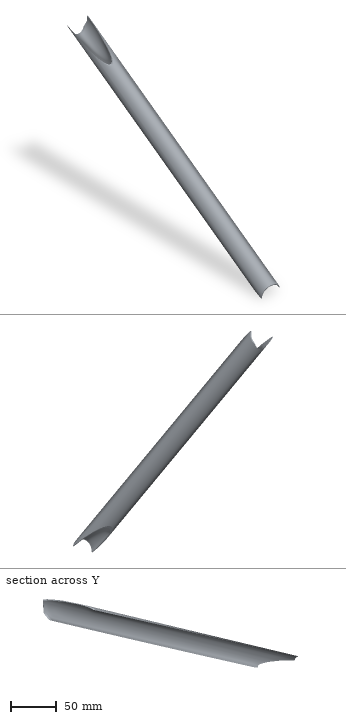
import cadquery as cq
import math

outer_radius = 12.47
wall = 1.0
axis_start = cq.Vector(0, 19.8, 189.5)
axis_end = cq.Vector(323.8, 12.3, -1.5)
overrun = 64.8

root_start = cq.Vector(9.7, 19.5, 169.5)
root_end = cq.Vector(67.5, 12.0, 163.5)
root_radius = 9.0
near_flank_angle = 63.0
far_flank_angle = 76.0
notch_height = 64.8

trim_start = cq.Vector(-0.3, 7.5, 0)
trim_end = cq.Vector(9.7, 31.5, 0)

ridge_point = cq.Vector(322.0, 12.3, 0.5)
ridge_direction = cq.Vector(0.16, 1, 0.18)
lower_mitre_slope = 0.285
upper_mitre_lean = 0.1

cutter_length = 259.0


def make_tube():
    """Hollow round bar, longer than the finished part at both ends."""
    direction = (axis_end - axis_start).normalized()
    base = axis_start - direction * overrun
    length = (axis_end - axis_start).Length + 2 * overrun
    plane = cq.Plane(base, normal=direction)
    return cq.Workplane(plane).circle(outer_radius).circle(outer_radius - wall).extrude(length)


def flank_points(angle, side):
    """Ends of one straight flank: its tangent point on the root arc and its top."""
    flank = math.radians(angle)
    arc_x = root_radius * math.sin(flank)
    arc_y = root_radius * (1 - math.cos(flank))
    top_x = arc_x + (notch_height - arc_y) / math.tan(flank)
    return (side * arc_x, arc_y), (side * top_x, notch_height)


def make_notch_cutter():
    """Rounded V trough that opens upward and removes the upper end of the tube."""
    direction = (root_end - root_start).normalized()
    sideways = cq.Vector(0, 0, 1).cross(direction)
    plane = cq.Plane(root_end - direction * cutter_length / 2, sideways, direction)
    near_arc, near_top = flank_points(near_flank_angle, -1)
    far_arc, far_top = flank_points(far_flank_angle, 1)
    return (
        cq.Workplane(plane)
        .moveTo(*near_arc)
        .threePointArc((0, 0), far_arc)
        .lineTo(*far_top)
        .lineTo(*near_top)
        .close()
        .extrude(cutter_length)
    )


def make_trim_cutter():
    """Block behind the upright plane through the two notch points."""
    along = (trim_end - trim_start).normalized()
    plane = cq.Plane(trim_start, along, cq.Vector(0, 0, 1).cross(along))
    return cq.Workplane(plane).rect(2 * cutter_length, 2 * cutter_length).extrude(cutter_length)


def make_mitre_cutter():
    """Prism around the lower end, with a wedge-shaped hollow that leaves the two mitres."""
    side = cutter_length / 2
    ridge = ridge_direction.normalized()
    profile = [
        (0, 0),
        (-side, side * lower_mitre_slope),
        (-side, -side),
        (side, -side),
        (side, side),
        (side * upper_mitre_lean, side),
    ]
    start = ridge_point - ridge * side
    points = [start + cq.Vector(x, 0, z) for x, z in profile]
    face = cq.Face.makeFromWires(cq.Wire.makePolygon(points, close=True))
    return cq.Workplane(cq.Solid.extrudeLinear(face, ridge * cutter_length))


result = (
    make_tube()
    .cut(make_notch_cutter())
    .cut(make_trim_cutter())
    .cut(make_mitre_cutter())
)